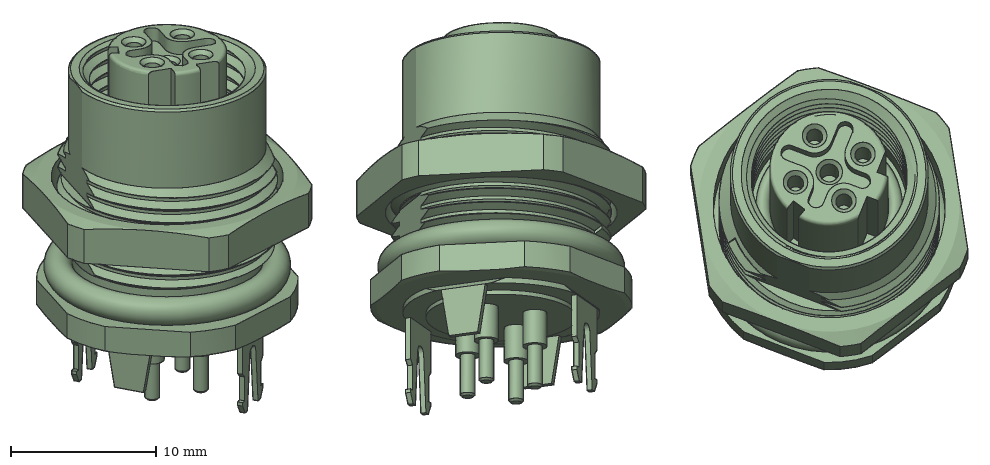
import cadquery as cq
import math

TOTAL_HEIGHT = 25.95
SHELL_TOP = 24.42
SHELL_BOTTOM = 18.48
NECK_TOP = 10.65
FLANGE_TOP = 8.49
FLANGE_BOTTOM = 6.51
COLLAR_BOTTOM = 6.12
INSERT_BOTTOM = 5.8

SHELL_RADIUS = 6.82
SHELL_FLAT = 6.72
SHELL_CHAMFER = 0.15
THREAD_PITCH = 0.995
CREST_FLAT = 0.05
ROOT_FLAT = 0.23
GROOVE_OVERRUN = 0.03
OUTER_MAJOR = 7.6
OUTER_MINOR = 7.03
OUTER_TURNS = 7
OUTER_START = 11.05
OUTER_START_ANGLE = 225
UPPER_CONE_HEIGHT = 0.83
LOWER_CONE_HEIGHT = 0.62
INNER_MINOR = 5.37
INNER_MAJOR = 5.92
INNER_TURNS = 7
INNER_MOUTH_RADIUS = 6.07
INNER_MOUTH_DEPTH = 0.36
INNER_START = 17.7
INNER_START_ANGLE = 94
CAVITY_FLOOR = 16.1

NECK_RADIUS = 6.55
FLANGE_ACROSS_FLATS = 17.02
FLANGE_CORNER_RADIUS = 9.018
FLANGE_BEVEL_RADIUS = 8.6
FLANGE_BEVEL_HEIGHT = 0.1
COLLAR_RADIUS = 6.77
INSERT_FOOT_RADIUS = 5.2

INSERT_RADIUS = 4.1
INSERT_FILLET = 0.25
BEAD_RADIUS = 0.5
BEAD_MID_RADIUS = 4.57
CONTACT_OFFSET = 1.8
CONTACT_MOUTH = 1.69
CONTACT_BORE = 1.1
CENTRE_MOUTH = 1.82
CENTRE_BORE = 1.27
BORE_DEPTH = 3.11
CROSS_WIDTH = 1.1
CROSS_SHORT_REACH = 3.0
CROSS_LONG_REACH = 3.53
CROSS_DEPTH = 0.99
CROSS_FILLET = CONTACT_OFFSET - CROSS_WIDTH / 2
NOTCH_WIDTH = 0.99
NOTCH_FLOOR_RADIUS = 3.37
NOTCH_ANGLE = 253.5
KEY_WIDTH = 1.87
KEY_FLAT = 3.17

PIN_SHOULDER_DIAMETER = 1.65
PIN_SHOULDER_BOTTOM = 3.4
PIN_DIAMETER = 1.05
PIN_BOTTOM = 0.42
PIN_CHAMFER = 0.15

LEG_FACE = 6.45
LEG_THICKNESS = 0.4
LEG_HALF_WIDTH = 1.7
FORK_STEP_TOP = 3.11
FORK_STEP_BOTTOM = 2.78
FORK_SHANK_HALF_WIDTH = 1.38
BARB_TOP = 0.95
BARB_WIDEST = 0.7
FORK_TIP_OUTER = 1.3
FORK_TIP_INNER = 0.88
FORK_SLOT_RADIUS = 0.5
FORK_SLOT_TOP = 4.55
BLADE_TOP_HALF_WIDTH = 1.65
BLADE_BOTTOM_HALF_WIDTH = 1.1
BLADE_BOTTOM = 2.72
FORK_ANGLES = (45, 225)
BLADE_ANGLES = (135, 315)

NUT_TOP = 16.25
NUT_BOTTOM = 13.42
NUT_ACROSS_FLATS = 18.0
NUT_CORNER_RADIUS = 10.005
NUT_BEVEL_RADIUS = 9.0
NUT_BEVEL_HEIGHT = 0.25
NUT_BORE_RADIUS = 8.0

RING_SECTION_RADIUS = 0.99
RING_MID_RADIUS = NECK_RADIUS + RING_SECTION_RADIUS


def cylinder(radius, bottom, top):
    return cq.Workplane("XY").workplane(offset=bottom).circle(radius).extrude(top - bottom)


def revolved(outline):
    """Revolve an outline of (radius, height) points about Z."""
    return cq.Workplane("XZ").polyline(outline).close().revolve(360, (0, 0, 0), (0, 1, 0))


def hexagon(across_flats, bottom, top):
    """Hexagonal prism with two flats facing +Y and -Y."""
    corner_diameter = across_flats / math.cos(math.radians(30))
    return cq.Workplane("XY").workplane(offset=bottom).polygon(6, corner_diameter).extrude(top - bottom)


def turned(body, angle):
    """Turn a body about Z by an angle in degrees."""
    return body.rotate((0, 0, 0), (0, 0, 1), angle)


def thread_groove(crest_radius, root_radius, turns, bottom, angle, left_handed):
    """Helical groove cutter from crest to root; works for inner and outer threads."""
    half_root = ROOT_FLAT / 2
    half_crest = (THREAD_PITCH - CREST_FLAT) / 2
    flank_slope = (half_crest - half_root) / abs(crest_radius - root_radius)
    half_mouth = half_crest + GROOVE_OVERRUN * flank_slope
    mouth_radius = crest_radius + math.copysign(GROOVE_OVERRUN, crest_radius - root_radius)
    section = [
        (root_radius, -half_root),
        (mouth_radius, -half_mouth),
        (mouth_radius, half_mouth),
        (root_radius, half_root),
    ]
    rise = THREAD_PITCH * turns
    helices = [
        cq.Wire.makeHelix(THREAD_PITCH, rise, radius, cq.Vector(0, 0, height), lefthand=left_handed).Edges()[0]
        for radius, height in section
    ]
    faces = [cq.Face.makeRuledSurface(helices[i - 1], helices[i]) for i in range(len(helices))]
    for end in (0, rise):
        corners = [cq.Vector(radius, 0, height + end) for radius, height in section]
        faces.append(cq.Face.makeFromWires(cq.Wire.makePolygon(corners, close=True)))
    groove = cq.Workplane(cq.Solid.makeSolid(cq.Shell.makeShell(faces)).fix())
    return turned(groove, angle).translate((0, 0, bottom))


def flat_cutter(side, bottom, top):
    """Block that cuts one anti-rotation flat, on the +Y (1) or -Y (-1) side."""
    depth = NUT_BORE_RADIUS - SHELL_FLAT
    block = cq.Workplane("XY").box(2 * NUT_BORE_RADIUS, depth, top - bottom, centered=(True, True, False))
    return block.translate((0, side * (SHELL_FLAT + depth / 2), bottom))


def make_shell():
    """Threaded shell, closed below the cavity, with two flats that stop inside the nut."""
    shell = revolved([
        (0, FLANGE_TOP),
        (NECK_RADIUS, FLANGE_TOP),
        (NECK_RADIUS, NECK_TOP),
        (OUTER_MAJOR, NECK_TOP + LOWER_CONE_HEIGHT),
        (OUTER_MAJOR, SHELL_BOTTOM - UPPER_CONE_HEIGHT),
        (SHELL_RADIUS, SHELL_BOTTOM),
        (SHELL_RADIUS, SHELL_TOP - SHELL_CHAMFER),
        (SHELL_RADIUS - SHELL_CHAMFER, SHELL_TOP),
        (0, SHELL_TOP),
    ])
    shell = shell.cut(thread_groove(
        OUTER_MAJOR, OUTER_MINOR, OUTER_TURNS, OUTER_START, OUTER_START_ANGLE, left_handed=True))
    for bottom, top in ((FLANGE_TOP, NUT_BOTTOM), (NUT_TOP, SHELL_TOP)):
        for side in (-1, 1):
            shell = shell.cut(flat_cutter(side, bottom, top))
    cavity = revolved([
        (0, CAVITY_FLOOR),
        (INNER_MINOR, CAVITY_FLOOR),
        (INNER_MINOR, SHELL_TOP - INNER_MOUTH_DEPTH),
        (INNER_MOUTH_RADIUS, SHELL_TOP),
        (0, SHELL_TOP),
    ])
    return shell.cut(cavity).cut(thread_groove(
        INNER_MINOR, INNER_MAJOR, INNER_TURNS, INNER_START, INNER_START_ANGLE, left_handed=False))


def leg_bevel():
    """Cutter for the 45 degree bevel that rises inward from the top edge of a leg facing +X."""
    return (
        cq.Workplane("XZ").polyline([
            (LEG_FACE, COLLAR_BOTTOM),
            (LEG_FACE - (FLANGE_BOTTOM - COLLAR_BOTTOM), FLANGE_BOTTOM),
            (FLANGE_CORNER_RADIUS, FLANGE_BOTTOM),
            (FLANGE_CORNER_RADIUS, COLLAR_BOTTOM),
        ]).close().extrude(COLLAR_RADIUS, both=True)
    )


def make_flange():
    """Rounded hexagonal flange, bevelled below, on a collar and the insert's foot."""
    flange = hexagon(FLANGE_ACROSS_FLATS, FLANGE_BOTTOM, FLANGE_TOP)
    flange = flange.intersect(revolved([
        (0, FLANGE_BOTTOM),
        (FLANGE_BEVEL_RADIUS, FLANGE_BOTTOM),
        (FLANGE_CORNER_RADIUS, FLANGE_BOTTOM + FLANGE_BEVEL_HEIGHT),
        (FLANGE_CORNER_RADIUS, FLANGE_TOP),
        (0, FLANGE_TOP),
    ]))
    collar = cylinder(COLLAR_RADIUS, COLLAR_BOTTOM, FLANGE_BOTTOM)
    foot = cylinder(INSERT_FOOT_RADIUS, INSERT_BOTTOM, FLANGE_BOTTOM)
    for angle in FORK_ANGLES + BLADE_ANGLES:
        collar = collar.cut(turned(leg_bevel(), angle))
    return flange.union(collar).union(foot)


def contact_bore(mouth, bore, top):
    """Blind contact hole with a 45 degree lead-in."""
    lead_in = (mouth - bore) / 2
    return revolved([
        (0, top),
        (mouth / 2, top),
        (bore / 2, top - lead_in),
        (bore / 2, top - BORE_DEPTH),
        (0, top - BORE_DEPTH),
    ])


def contact_points():
    return [(x, y) for x in (-CONTACT_OFFSET, CONTACT_OFFSET) for y in (-CONTACT_OFFSET, CONTACT_OFFSET)]


def cross_recess():
    """Cross-shaped recess with round ends and rounded inner corners."""
    floor = cq.Workplane("XY").workplane(offset=TOTAL_HEIGHT - CROSS_DEPTH)
    length = CROSS_LONG_REACH + CROSS_SHORT_REACH
    shift = (CROSS_LONG_REACH - CROSS_SHORT_REACH) / 2
    arm_x = floor.center(-shift, 0).slot2D(length, CROSS_WIDTH).extrude(CROSS_DEPTH)
    arm_y = floor.center(0, shift).slot2D(length, CROSS_WIDTH, 90).extrude(CROSS_DEPTH)
    corners = cq.selectors.BoxSelector(
        (-CROSS_WIDTH, -CROSS_WIDTH, 0), (CROSS_WIDTH, CROSS_WIDTH, TOTAL_HEIGHT))
    return arm_x.union(arm_y).edges("|Z").edges(corners).fillet(CROSS_FILLET)


def make_insert():
    """Five-pole contact insert with its coding notch, key and sealing bead."""
    insert = cylinder(INSERT_RADIUS, CAVITY_FLOOR, TOTAL_HEIGHT).faces(">Z").edges().fillet(INSERT_FILLET)
    recess_floor = CAVITY_FLOOR + BEAD_RADIUS
    height = TOTAL_HEIGHT - recess_floor
    for side in (-1, 1):
        key_side = cq.Workplane("XY").box(INSERT_RADIUS, INSERT_RADIUS, height, centered=(False, True, False))
        key_side = key_side.translate((KEY_FLAT, side * (KEY_WIDTH + INSERT_RADIUS) / 2, recess_floor))
        insert = insert.cut(key_side)
    notch = cq.Workplane("XY").box(INSERT_RADIUS, NOTCH_WIDTH, height, centered=(False, True, False))
    notch = notch.translate((NOTCH_FLOOR_RADIUS, 0, recess_floor))
    insert = insert.cut(turned(notch, NOTCH_ANGLE)).cut(cross_recess())
    for x, y in contact_points():
        insert = insert.cut(contact_bore(CONTACT_MOUTH, CONTACT_BORE, TOTAL_HEIGHT).translate((x, y, 0)))
    insert = insert.cut(contact_bore(CENTRE_MOUTH, CENTRE_BORE, TOTAL_HEIGHT - CROSS_DEPTH))
    bead = cq.Solid.makeTorus(BEAD_MID_RADIUS, BEAD_RADIUS).translate(cq.Vector(0, 0, CAVITY_FLOOR))
    return insert.union(cq.Workplane(bead))


def make_pin():
    shoulder = cylinder(PIN_SHOULDER_DIAMETER / 2, PIN_SHOULDER_BOTTOM, INSERT_BOTTOM)
    tip = cylinder(PIN_DIAMETER / 2, PIN_BOTTOM, PIN_SHOULDER_BOTTOM).faces("<Z").chamfer(PIN_CHAMFER)
    return shoulder.union(tip)


def leg_plate(outline):
    """Extrude a leg outline of (sideways, height) points into a plate facing +X."""
    inner_face = cq.Workplane("YZ").workplane(offset=LEG_FACE - LEG_THICKNESS)
    return inner_face.polyline(outline).close().extrude(LEG_THICKNESS)


def make_fork():
    """Snap-in leg: two barbed prongs split by a tapered slot with a round top."""
    half = [
        (LEG_HALF_WIDTH, COLLAR_BOTTOM),
        (LEG_HALF_WIDTH, FORK_STEP_TOP),
        (FORK_SHANK_HALF_WIDTH, FORK_STEP_BOTTOM),
        (FORK_SHANK_HALF_WIDTH, BARB_TOP),
        (LEG_HALF_WIDTH, BARB_TOP),
        (LEG_HALF_WIDTH, BARB_WIDEST),
        (FORK_TIP_OUTER, 0),
    ]
    plate = leg_plate(half + [(-y, z) for y, z in reversed(half)])
    slot_shoulder = FORK_SLOT_TOP - FORK_SLOT_RADIUS
    slot = (
        cq.Workplane("YZ").workplane(offset=LEG_FACE - LEG_THICKNESS)
        .moveTo(-FORK_TIP_INNER, 0)
        .lineTo(-FORK_SLOT_RADIUS, slot_shoulder)
        .threePointArc((0, FORK_SLOT_TOP), (FORK_SLOT_RADIUS, slot_shoulder))
        .lineTo(FORK_TIP_INNER, 0)
        .close().extrude(LEG_THICKNESS)
    )
    return plate.cut(slot)


def make_blade():
    """Plain tapered leg."""
    return leg_plate([
        (-BLADE_TOP_HALF_WIDTH, COLLAR_BOTTOM),
        (BLADE_TOP_HALF_WIDTH, COLLAR_BOTTOM),
        (BLADE_BOTTOM_HALF_WIDTH, BLADE_BOTTOM),
        (-BLADE_BOTTOM_HALF_WIDTH, BLADE_BOTTOM),
    ])


def make_connector():
    connector = make_shell().union(make_flange()).union(make_insert())
    for x, y in contact_points():
        connector = connector.union(make_pin().translate((x, y, 0)))
    for leg, angles in ((make_fork(), FORK_ANGLES), (make_blade(), BLADE_ANGLES)):
        for angle in angles:
            connector = connector.union(turned(leg, angle))
    return connector


def make_nut():
    """Hexagonal nut with cut corners and a bevelled top."""
    nut = hexagon(NUT_ACROSS_FLATS, NUT_BOTTOM, NUT_TOP)
    return nut.intersect(revolved([
        (NUT_BORE_RADIUS, NUT_BOTTOM),
        (NUT_CORNER_RADIUS, NUT_BOTTOM),
        (NUT_CORNER_RADIUS, NUT_TOP - NUT_BEVEL_HEIGHT),
        (NUT_BEVEL_RADIUS, NUT_TOP),
        (NUT_BORE_RADIUS, NUT_TOP),
    ]))


def make_sealing_ring():
    """Round-section ring that sits on the flange around the neck."""
    ring = cq.Solid.makeTorus(RING_MID_RADIUS, RING_SECTION_RADIUS)
    return ring.translate(cq.Vector(0, 0, FLANGE_TOP + RING_SECTION_RADIUS))


connector = make_connector()
nut = make_nut()
sealing_ring = make_sealing_ring()

result = cq.Compound.makeCompound([connector.val(), nut.val(), sealing_ring])